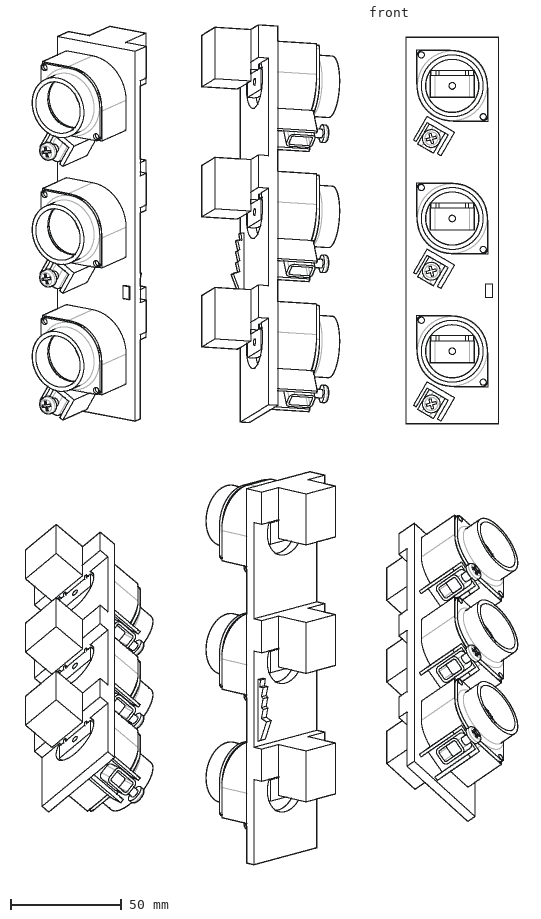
import cadquery as cq
import math


plate_width = 42.0
plate_height = 175.0
plate_thickness = 4.4
ledge_height = 15.0
ledge_back = 9.3
block_width = 19.6
block_height = 23.8
block_back = 26.2

station_count = 3
station_pitch = 60.0
socket_drop = 22.0
station_tops = [plate_height - i * station_pitch for i in range(station_count)]
socket_heights = [top - socket_drop for top in station_tops]

housing_width = 32.2
housing_depth = 20.0
housing_corner = 18.0
flange_width = 31.8
flange_thickness = 1.5
flange_large_corner = 15.8
flange_small_corner = 2.1
flange_hole_offset = 14.0
flange_hole_diameter = 2.8
barrel_diameter = 28.0
barrel_end = 31.7
barrel_fillet = 1.8
bore_diameter = 24.0
groove_diameter = 26.0
groove_depth = 20.6
groove_width = 1.0

insert_width = 20.0
insert_height = 10.0
insert_gap = 2.3
insert_fillet = 2.1
insert_hole_diameter = 3.0
arm_width = 1.2
arm_offset = 6.6
arm_recess = 0.9

latch_left = 15.0
latch_right = 18.2
latch_bottom = 57.2
tab_height = 6.1
tab_reach = 0.9
tooth_root = 2.1
tooth_tip = 3.2
tooth_count = 3
tooth_pitch = 5.0
tooth_rise = 0.7
latch_head_top = 86.1
latch_neck = 1.0
latch_head_reach = 1.5
first_tooth_top = 82.8
hook_reach = 5.2
hook_height = 67.2

terminal_tilt = 30.0
terminal_x = -8.2
terminal_drop = 22.8
terminal_length = 14.4
terminal_width = 12.2
terminal_depth = housing_depth
notch_left_wall = 1.4
notch_right_wall = 2.0
notch_top_wall = 2.5

cage_u = -0.5
cage_length = 8.2
cage_depth = 12.5
cage_wall = 1.2
cage_fillet = 2.1
cage_overhang = 0.7
screw_diameter = 4.0
screw_gap = 4.5
screw_head_diameter = 8.0
screw_head_height = 2.5
screw_head_fillet = 1.0
cross_width = 1.0
cross_length = 4.5
cross_turn = 45.0
cross_depth = 0.9


def box(x0, x1, y0, y1, z0, z1):
    """Box between the given limits."""
    return cq.Workplane("XY").box(x1 - x0, y1 - y0, z1 - z0, centered=False).translate((x0, y0, z0))


def rod(diameter, y0, y1):
    """Cylinder about the Y axis from y0 to y1."""
    return cq.Workplane("XZ", origin=(0, y1, 0)).circle(diameter / 2).extrude(y1 - y0)


def rear_block(top):
    """Full-width ledge with a narrower block behind it."""
    half = plate_width / 2
    ledge = box(-half, half, plate_thickness, ledge_back, top - ledge_height, top)
    block_half = block_width / 2
    return ledge.union(box(-block_half, block_half, ledge_back, block_back, top - block_height, top))


def opening(top):
    """Round plate opening, cut off straight at the underside of the ledge."""
    hole = rod(bore_diameter, 0, plate_thickness).translate((0, 0, top - socket_drop))
    reach = bore_diameter
    below_ledge = box(-reach, reach, 0, plate_thickness, top - 2 * reach, top - ledge_height)
    return hole.intersect(below_ledge)


def insert(top):
    """Rounded tongue that hangs from the top of the opening on two arms."""
    half = insert_width / 2
    insert_top = top - ledge_height - insert_gap
    tongue = box(-half, half, 0, plate_thickness, insert_top - insert_height, insert_top)
    tongue = tongue.faces("<Y").edges("|Z").fillet(insert_fillet)
    tongue = tongue.cut(rod(insert_hole_diameter, 0, plate_thickness).translate((0, 0, top - socket_drop)))
    for x in (-arm_offset, arm_offset):
        tongue = tongue.union(box(x - arm_width / 2, x + arm_width / 2, arm_recess, plate_thickness,
                                  insert_top - arm_width, top - ledge_height))
    return tongue


def latch():
    """Toothed latch behind the plate, with a tab that shows through at the front."""
    outline = [(0, latch_bottom), (0, latch_head_top), (latch_head_reach, latch_head_top),
               (latch_neck, first_tooth_top)]
    for i in range(tooth_count):
        tip = first_tooth_top - i * tooth_pitch
        outline += [(tooth_tip, tip), (tooth_root, tip - tooth_pitch + tooth_rise)]
    outline += [(hook_reach, hook_height), (latch_head_reach, latch_bottom + tooth_rise)]
    width = latch_right - latch_left
    teeth = cq.Workplane("YZ", origin=(latch_left, plate_thickness, 0)).polyline(outline).close().extrude(width)
    return teeth.union(box(latch_left, latch_right, -tab_reach, plate_thickness,
                           latch_bottom, latch_bottom + tab_height))


def make_plate():
    half = plate_width / 2
    plate = box(-half, half, 0, plate_thickness, 0, plate_height)
    for top in station_tops:
        plate = plate.union(rear_block(top)).cut(opening(top)).union(insert(top))
    return plate.union(latch())


def rounded_square(width, depth, large_corner, small_corner):
    """Block towards -Y: large corners at upper right and lower left, small ones at the other two."""
    half = width / 2
    block = cq.Workplane("XZ").rect(width, width).extrude(depth)
    for x, z, radius in ((1, 1, large_corner), (-1, -1, large_corner),
                         (-1, 1, small_corner), (1, -1, small_corner)):
        if radius > 0:
            edge = cq.selectors.NearestToPointSelector((x * half, -depth / 2, z * half))
            block = block.edges("|Y").edges(edge).fillet(radius)
    return block


def make_socket():
    housing = rounded_square(housing_width, housing_depth, housing_corner, 0)
    flange = rounded_square(flange_width, flange_thickness, flange_large_corner, flange_small_corner)
    flange = flange.translate((0, -housing_depth, 0))
    flange_front = -housing_depth - flange_thickness
    holes = [(-flange_hole_offset, flange_hole_offset), (flange_hole_offset, -flange_hole_offset)]
    for x, z in holes:
        flange = flange.cut(rod(flange_hole_diameter, flange_front, -housing_depth).translate((x, 0, z)))
    barrel = barrel_shell(flange_front)
    groove = rod(groove_diameter, -groove_depth - groove_width, -groove_depth)
    return housing.union(flange).union(barrel).cut(rod(bore_diameter, -barrel_end, 0)).cut(groove)


def barrel_shell(root):
    """Barrel outside, with a concave flare where it meets the flange at Y = root."""
    radius = barrel_diameter / 2
    middle = radius + barrel_fillet * (1 - math.sqrt(0.5))
    middle_y = root - barrel_fillet * (1 - math.sqrt(0.5))
    return (
        cq.Workplane("XY")
        .moveTo(0, root)
        .lineTo(radius + barrel_fillet, root)
        .threePointArc((middle, middle_y), (radius, root - barrel_fillet))
        .lineTo(radius, -barrel_end)
        .lineTo(0, -barrel_end)
        .close()
        .revolve(360, (0, 0, 0), (0, 1, 0))
    )


def make_terminal():
    """Block with a notch that is open at the lower edge, in the tilted frame."""
    half_length = terminal_length / 2
    half_width = terminal_width / 2
    block = box(-half_length, half_length, -terminal_depth, 0, -half_width, half_width)
    notch = box(notch_left_wall - half_length, half_length - notch_right_wall, -terminal_depth, 0,
                -half_width, half_width - notch_top_wall)
    return block.cut(notch)


def make_clamp():
    """Wire cage open along V, with its half-driven screw, in the tilted frame."""
    front = -terminal_depth
    top = terminal_width / 2 - notch_top_wall
    bottom = -terminal_width / 2 - cage_overhang
    screw_v = (top + bottom) / 2
    half = cage_length / 2
    cage = box(-half, half, front, front + cage_depth, bottom, top).edges("|Z").fillet(cage_fillet)
    inner = half - cage_wall
    window = box(-inner, inner, front + cage_wall, front + cage_depth - cage_wall, bottom, top)
    cage = cage.cut(window.edges("|Z").fillet(cage_fillet - cage_wall))
    head_back = front - screw_gap
    head_front = head_back - screw_head_height
    head = rod(screw_head_diameter, head_front, head_back).faces("<Y").fillet(screw_head_fillet)
    cross = cq.Workplane("XZ", origin=(0, head_front + cross_depth, 0)).rect(cross_width, cross_length)
    cross = cross.extrude(cross_depth)
    for turn in (cross_turn, cross_turn + 90):
        head = head.cut(cross.rotate((0, 0, 0), (0, 1, 0), turn))
    screw = rod(screw_diameter, head_back, front + cage_wall).union(head)
    return cage.union(screw.translate((0, 0, screw_v))).translate((cage_u, 0, 0))


def place_tilted(body, socket_height):
    """Tilt a terminal part and move it beside its socket."""
    tilted = body.rotate((0, 0, 0), (0, 1, 0), terminal_tilt)
    return tilted.translate((terminal_x, 0, socket_height - terminal_drop))


plate = make_plate()
sockets = [make_socket().translate((0, 0, z)) for z in socket_heights]
terminals = [place_tilted(make_terminal(), z) for z in socket_heights]
clamps = [place_tilted(make_clamp(), z) for z in socket_heights]

result = cq.Compound.makeCompound([body.val() for body in [plate, *sockets, *terminals, *clamps]])